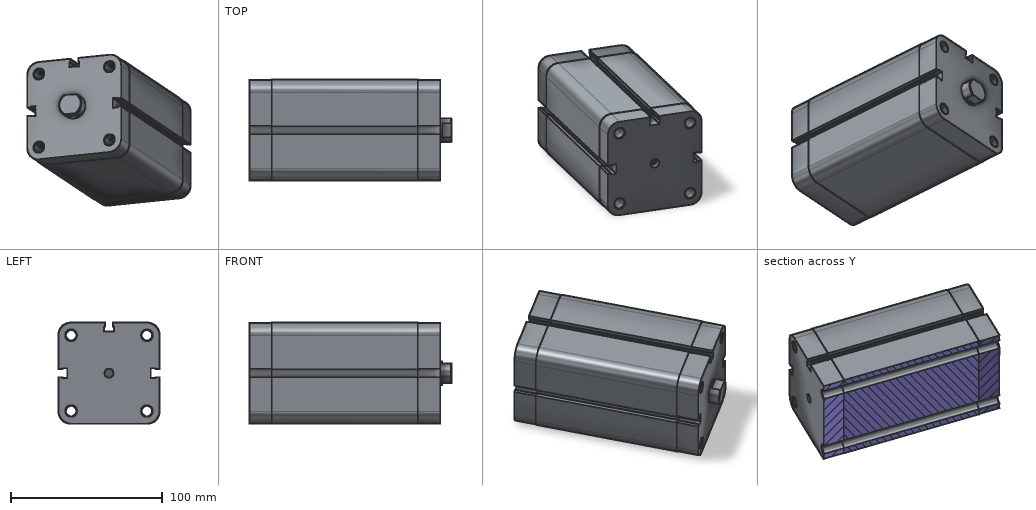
import cadquery as cq
body_length = 126.0
cap_length = 14.75
barrel_length = body_length - 2 * cap_length
front_cap_start = cap_length + barrel_length
barrel_side = 67.0
barrel_corner_radius = 8.5
cap_inset = 0.25

slot_opening = 5.2
slot_width = 6.2
slot_lip = 3.0
slot_depth = 5.8
slot_angles = (0, 90, -90)

hole_spacing = 50.0
hole_diameter = 6.8
hole_chamfer = 0.5

center_hole_diameter = 6.0
center_hole_depth = 5.0

rod_diameter = 16.0
rod_reach = 7.5
rod_end_chamfer = 0.5
flat_spacing = 13.0
flat_length = 6.3


def t_slots(start, length, inset):
    """T-slot cutters for the +Z, +Y and -Y faces."""
    top = barrel_side / 2
    foot_top = top - slot_lip + inset
    floor = top - slot_depth - inset
    neck = (
        cq.Workplane("XY", origin=(start, 0, floor))
        .box(length, slot_opening + 2 * inset, top - floor, centered=(False, True, False))
    )
    foot = (
        cq.Workplane("XY", origin=(start, 0, floor))
        .box(length, slot_width + 2 * inset, foot_top - floor, centered=(False, True, False))
    )
    slot = neck.union(foot)
    return [slot.rotate((0, 0, 0), (1, 0, 0), angle) for angle in slot_angles]


def screw_holes(start, length):
    """Four round cutters on the corners of the screw pattern."""
    return (
        cq.Workplane("YZ", origin=(start, 0, 0))
        .rect(hole_spacing, hole_spacing, forConstruction=True)
        .vertices()
        .circle(hole_diameter / 2)
        .extrude(length)
    )


def profile_block(start, length, inset):
    """Rounded square block with its T-slots and screw holes, set in from the barrel profile."""
    side = barrel_side - 2 * inset
    block = (
        cq.Workplane("YZ", origin=(start, 0, 0))
        .rect(side, side)
        .extrude(length)
        .edges("|X")
        .fillet(barrel_corner_radius - inset)
    )
    for cutter in t_slots(start, length, inset):
        block = block.cut(cutter)
    return block.cut(screw_holes(start, length))


def cap(start, outer_face):
    """End cap with its screw holes chamfered on the outer face."""
    body = profile_block(start, cap_length, cap_inset)
    hole_rims = body.faces(outer_face).edges("%CIRCLE").edges(cq.selectors.RadiusNthSelector(0))
    return hole_rims.chamfer(hole_chamfer)


def piston_rod():
    """Rod that passes through the front cap, with flats on +Z and -Z."""
    rod = (
        cq.Workplane("YZ", origin=(front_cap_start, 0, 0))
        .circle(rod_diameter / 2)
        .extrude(cap_length + rod_reach)
        .faces(">X")
        .chamfer(rod_end_chamfer)
    )
    flat_depth = (rod_diameter - flat_spacing) / 2
    flat_start = body_length + rod_reach - flat_length
    for flat_bottom in (flat_spacing / 2, -rod_diameter / 2):
        flat = (
            cq.Workplane("XY", origin=(flat_start, 0, flat_bottom))
            .box(flat_length, rod_diameter, flat_depth, centered=(False, True, False))
        )
        rod = rod.cut(flat)
    return rod


rear_cap = cap(0, "<X").cut(
    cq.Workplane("YZ").circle(center_hole_diameter / 2).extrude(center_hole_depth)
)
barrel = profile_block(cap_length, barrel_length, 0)
rod_bore = (
    cq.Workplane("YZ", origin=(front_cap_start, 0, 0))
    .circle(rod_diameter / 2)
    .extrude(cap_length)
)
front_cap = cap(front_cap_start, ">X").cut(rod_bore)
rod = piston_rod()

result = cq.Compound.makeCompound([rear_cap.val(), barrel.val(), front_cap.val(), rod.val()])